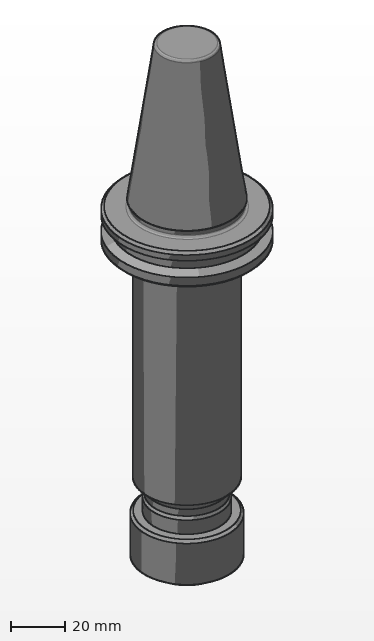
import cadquery as cq

total_height = 228.5
gauge_z = total_height - 68.3
flange_top_z = gauge_z - 3.5
flange_bottom_z = gauge_z - 19.2
body_bottom_z = 38.4
neck_top_z = 33.8
collar_bevel_top_z = 30.8
collar_top_z = 29.5
nut_top_z = 23.3
nut_bevel_top_z = 4.0

flange_radius = 31.7
gauge_radius = 22.2
body_radius = 20.0
neck_radius = 15.8
collar_radius = 16.5
nut_radius = 21.0
nut_bottom_radius = 15.0

taper_slope = 7 / 24 / 2
tip_radius = gauge_radius - taper_slope * (total_height - gauge_z)
tip_fillet = 1.1

undercut_radius = gauge_radius - 0.7
undercut_bevel = 0.7
undercut_fillet = 1.1

flange_rim_chamfer = 1.1
groove_radius = 28.0
groove_center_z = flange_top_z - 7.3
groove_floor_width = 3.9
groove_mouth_width = 7.3
body_fillet = 2.5

nut_rim_chamfer = 1.1


def revolve_outline(points):
    """Revolve a closed (radius, height) outline about the Z axis."""
    outline = cq.Workplane("XZ").polyline(points).close()
    return outline.revolve(360, (0, 0, 0), (0, 1, 0))


def make_taper():
    cone = revolve_outline([
        (0, gauge_z),
        (gauge_radius, gauge_z),
        (tip_radius, total_height),
        (0, total_height),
    ])
    return cone.faces(">Z").edges().fillet(tip_fillet)


def concave_fillet(radius, shoulder_z, size, direction):
    """Ring easing a cylinder into a flange face; direction is +1 up or -1 down from the face."""
    end_z = shoulder_z + direction * size
    mid_offset = size * (1 - 0.5 ** 0.5)
    profile = (
        cq.Workplane("XZ")
        .moveTo(0, shoulder_z)
        .lineTo(radius + size, shoulder_z)
        .threePointArc((radius + mid_offset, shoulder_z + direction * mid_offset), (radius, end_z))
        .lineTo(0, end_z)
        .close()
    )
    return profile.revolve(360, (0, 0, 0), (0, 1, 0))


def make_undercut():
    return revolve_outline([
        (0, flange_top_z),
        (undercut_radius, flange_top_z),
        (undercut_radius, gauge_z - undercut_bevel),
        (gauge_radius, gauge_z),
        (0, gauge_z),
    ])


def make_flange():
    height = flange_top_z - flange_bottom_z
    disc = cq.Workplane("XY").workplane(offset=flange_bottom_z).circle(flange_radius).extrude(height)
    disc = disc.faces("<Z or >Z").edges().chamfer(flange_rim_chamfer)
    half_floor = groove_floor_width / 2
    half_mouth = groove_mouth_width / 2
    groove = revolve_outline([
        (groove_radius, groove_center_z - half_floor),
        (flange_radius, groove_center_z - half_mouth),
        (flange_radius, groove_center_z + half_mouth),
        (groove_radius, groove_center_z + half_floor),
    ])
    return disc.cut(groove)


def make_body():
    """Long shank, relieved neck and the collar that enters the nut."""
    return revolve_outline([
        (0, nut_top_z),
        (collar_radius, nut_top_z),
        (collar_radius, collar_top_z),
        (neck_radius, collar_bevel_top_z),
        (neck_radius, neck_top_z),
        (body_radius, body_bottom_z),
        (body_radius, flange_bottom_z),
        (0, flange_bottom_z),
    ])


def make_nut():
    return revolve_outline([
        (0, 0),
        (nut_bottom_radius, 0),
        (nut_radius, nut_bevel_top_z),
        (nut_radius, nut_top_z - nut_rim_chamfer),
        (nut_radius - nut_rim_chamfer, nut_top_z),
        (0, nut_top_z),
    ])


result = (
    make_taper()
    .union(make_undercut())
    .union(make_flange())
    .union(concave_fillet(undercut_radius, flange_top_z, undercut_fillet, 1))
    .union(make_body())
    .union(concave_fillet(body_radius, flange_bottom_z, body_fillet, -1))
    .union(make_nut())
)